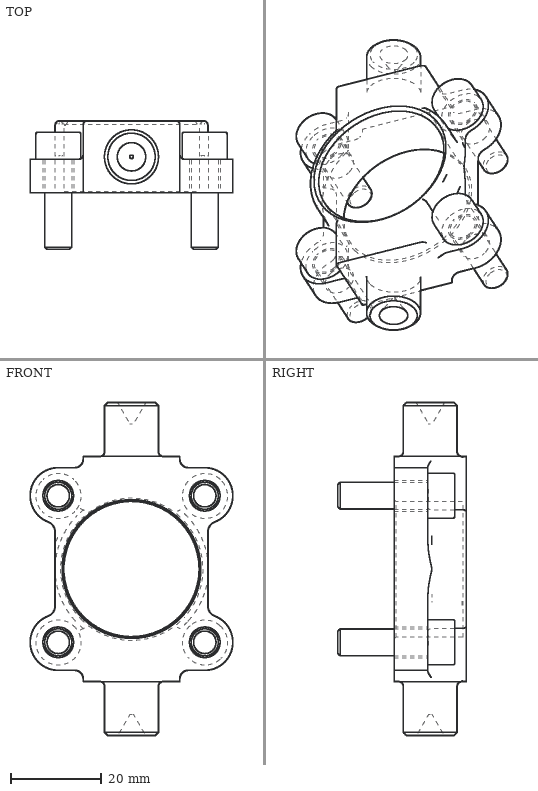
import cadquery as cq
import math


thickness = 16.0
front_y = -thickness / 2
back_y = thickness / 2
lug_thickness = 7.5
lug_face_y = front_y + lug_thickness
outer_width = 45.0
lug_radius = 6.25
screw_offset = outer_width / 2 - lug_radius
lug_end = screw_offset + lug_radius
side_half_width = 17.0
block_corner_fillet = 1.8
lug_root_fillet = 2.25

block_half_width = 10.75
block_edge_fillet = 0.25
block_height = 50.0
collar_diameter = 2 * side_half_width
rim_fillet = 1.0
base_fillet = 0.9
blank_size = 2 * block_height
pick_reach = 0.05

bore_diameter = 30.0
front_bore_chamfer = 0.4
back_bore_chamfer = 0.8

trunnion_diameter = 12.0
trunnion_span = 73.96
trunnion_end_z = trunnion_span / 2
trunnion_chamfer = 0.75
trunnion_fillet = 1.0
centre_diameter = 6.3
centre_tip_diameter = 0.8
centre_angle = 60.0
centre_depth = (centre_diameter - centre_tip_diameter) / 2 / math.tan(math.radians(centre_angle / 2))

screw_diameter = 6.0
screw_length = 20.0
screw_tip_chamfer = 0.5
head_diameter = 10.0
head_height = 6.0
head_fillet = 0.5
clearance_diameter = 6.8
screw_places = [(x, z) for x in (-screw_offset, screw_offset) for z in (-screw_offset, screw_offset)]


def cylinder(x, z, start_y, end_y, diameter):
    """Cylinder along Y with its axis at the given X and Z."""
    start = cq.Vector(x, start_y, z)
    return cq.Workplane(cq.Solid.makeCylinder(diameter / 2, end_y - start_y, start, cq.Vector(0, 1, 0)))


def slab(width, height, start_y, end_y):
    """Box centred on the Y axis; width is along X and height along Z."""
    corner = cq.Vector(-width / 2, start_y, -height / 2)
    return cq.Workplane(cq.Solid.makeBox(width, end_y - start_y, height, corner))


def make_outline():
    """Outline of the housing with its four round lugs, at full thickness."""
    outline = slab(2 * side_half_width, 2 * screw_offset, front_y, back_y)
    outline = outline.union(slab(2 * screw_offset, 2 * lug_end, front_y, back_y))
    for x, z in screw_places:
        outline = outline.union(cylinder(x, z, front_y, back_y, 2 * lug_radius))
    outline = outline.union(slab(2 * block_half_width, block_height, front_y, back_y))

    lug_root_z = screw_offset - math.sqrt(lug_radius**2 - (side_half_width - screw_offset) ** 2)
    corners = (
        (side_half_width, lug_root_z, lug_root_fillet),
        (block_half_width, lug_end, block_corner_fillet),
    )
    for corner_x, corner_z, radius in corners:
        for x in (-corner_x, corner_x):
            for z in (-corner_z, corner_z):
                low = (x - pick_reach, front_y, z - pick_reach)
                high = (x + pick_reach, back_y, z + pick_reach)
                outline = outline.edges(cq.selectors.BoxSelector(low, high)).fillet(radius)

    outline = outline.faces("<Z or >Z").edges("|Y").fillet(block_edge_fillet)
    return outline


def make_stepped_blank():
    """Wide plate carrying the raised block and collar, filleted at the base and at the back rim."""
    raised = slab(2 * block_half_width, blank_size, front_y, back_y)
    raised = raised.union(cylinder(0, 0, front_y, back_y, collar_diameter))
    raised = raised.faces(">Y").edges("not(<Z or >Z)").fillet(rim_fillet)
    blank = raised.union(slab(blank_size, blank_size, front_y, lug_face_y))

    inner = blank_size / 2 - pick_reach
    low = (-inner, lug_face_y - pick_reach, -inner)
    high = (inner, lug_face_y + pick_reach, inner)
    return blank.edges(cq.selectors.BoxSelector(low, high)).fillet(base_fillet)


def make_trunnion():
    """Upper trunnion: a turned pin with a flared root, sunk into the block below."""
    radius = trunnion_diameter / 2
    block_end = block_height / 2
    root_z = (block_end + bore_diameter / 2) / 2
    flare_mid = trunnion_fillet * (1 - math.sqrt(0.5))
    profile = (
        cq.Workplane("XZ")
        .moveTo(0, root_z)
        .lineTo(radius + trunnion_fillet, root_z)
        .lineTo(radius + trunnion_fillet, block_end)
        .threePointArc((radius + flare_mid, block_end + flare_mid), (radius, block_end + trunnion_fillet))
        .lineTo(radius, trunnion_end_z - trunnion_chamfer)
        .lineTo(radius - trunnion_chamfer, trunnion_end_z)
        .lineTo(centre_diameter / 2, trunnion_end_z)
        .lineTo(centre_tip_diameter / 2, trunnion_end_z - centre_depth)
        .lineTo(0, trunnion_end_z - centre_depth)
        .close()
    )
    return profile.revolve(360, (0, 0, 0), (0, 1, 0))


def make_bore():
    """Material removed by the bore, which is chamfered at both ends."""
    radius = bore_diameter / 2
    profile = (
        cq.Workplane("XY")
        .moveTo(0, front_y)
        .lineTo(radius + front_bore_chamfer, front_y)
        .lineTo(radius, front_y + front_bore_chamfer)
        .lineTo(radius, back_y - back_bore_chamfer)
        .lineTo(radius + back_bore_chamfer, back_y)
        .lineTo(0, back_y)
        .close()
    )
    return profile.revolve(360, (0, 0, 0), (0, 1, 0))


def make_housing():
    """Flanged housing with bore, both trunnions, clearance holes and seats for the screw heads."""
    housing = make_outline().intersect(make_stepped_blank())
    trunnion = make_trunnion()
    housing = housing.union(trunnion).union(trunnion.mirror("XY"))
    housing = housing.cut(make_bore())
    for x, z in screw_places:
        housing = housing.cut(cylinder(x, z, front_y, back_y, clearance_diameter))
        housing = housing.cut(cylinder(x, z, lug_face_y, lug_face_y + head_height, head_diameter))
    return housing


def make_screw(x, z):
    """Cap screw whose head sits on the lug and whose tip points to -Y."""
    tip_y = lug_face_y - screw_length
    head = cylinder(x, z, lug_face_y, lug_face_y + head_height, head_diameter)
    head = head.faces(">Y").edges().fillet(head_fillet)
    shank = cylinder(x, z, tip_y, lug_face_y, screw_diameter)
    shank = shank.faces("<Y").edges().chamfer(screw_tip_chamfer)
    return head.union(shank)


housing = make_housing()
screws = [make_screw(x, z) for x, z in screw_places]

result = cq.Compound.makeCompound([housing.val()] + [screw.val() for screw in screws])